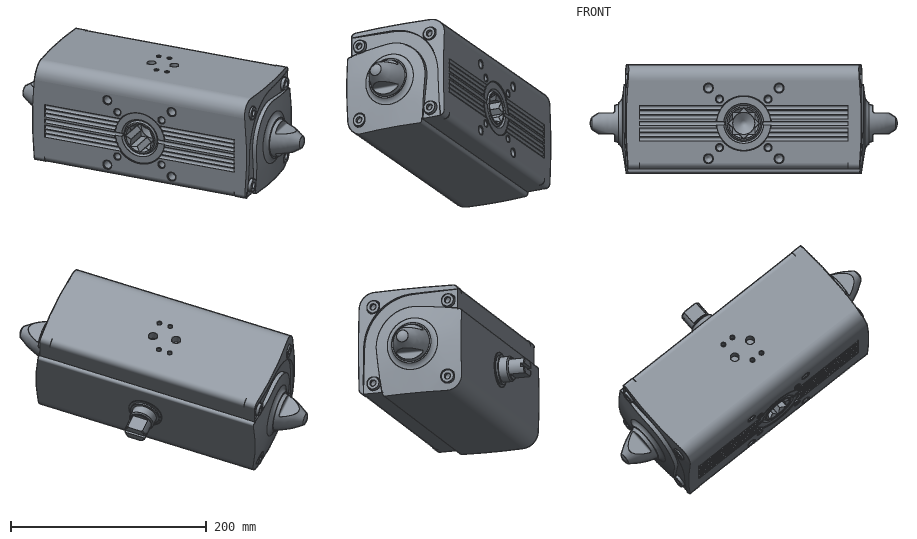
import cadquery as cq
import math


LENGTH = 313.5
FAR_SIDE = 60.0
NEAR_SIDE = 51.0
STEP_SIDE = 46.7
STEP_START = 34.2
LARGE_CORNER = 16.3
STEP_CORNER = 2.5
BODY_SMALL_CORNER = 6.3
CAP_SMALL_CORNER = 5.0

BODY_HALF = 106.3

RIM_DOME_TOP = 124.0
RIM_DOME_RADIUS = 470.5
BAND_FLOOR = 117.5
PLATE_DOME_TOP = 125.0
PLATE_DOME_RADIUS = 266.5
PLATE_RADIUS = 39.8
PLATE_TILT = math.radians(6)
RIM_RADIUS = 54.0
RIM_TILT = math.radians(-1.5)

COLLAR_TOP = 127.5
COLLAR_RADIUS = 21.3
COLLAR_FLARE = 27.3
FLARE_HOLLOW = 0.38
NOSE_RADIUS = 19.8
NOSE_MID = 142.7
NOSE_MID_RADIUS = 13.8
NOSE_TIP_RADIUS = 6.3
NOSE_TIP_START = 155.0
FLAT_START = 131.7
FLAT_HALF = 10.82
FLAT_FILLET = 2.0

SCREW_FAR = 44.0
SCREW_NEAR = 36.7
SCREW_BORE_DIAMETER = 14.5
SCREW_HEAD_DIAMETER = 13.0
SCREW_SOCKET_DIAMETER = 6.5
SCREW_FLOOR = 113.0
SCREW_HEAD_TOP = 120.7
SCREW_SOCKET_DEPTH = 3.0

OVERALL_WIDTH = 141.0
SHAFT_END = OVERALL_WIDTH - FAR_SIDE
SHAFT_EMBEDMENT = 3.0
SHAFT_DIAMETER = 22.5
SHAFT_FLAT_HALF = 7.8
SHAFT_FLAT_START = 65.2
SHAFT_CHAMFER = 1.0
SHAFT_SLOT_WIDTH = 3.5
SHAFT_SLOT_DEPTH = 4.0
SHAFT_COLLAR_DIAMETER = 26.0
SHAFT_COLLAR_END = 64.0
SHAFT_COLLAR_CHAMFER = 1.3
WASHER_DIAMETER = 36.0
WASHER_THICKNESS = 1.0
RING_DIAMETER = 30.7
RING_THICKNESS = 2.8
POINTER_WIDTH = 6.3
POINTER_THICKNESS = 1.0

GROOVE_DIAMETER = 4.0
GROOVE_HEIGHTS = (0, 6.5, 11.3, 16.0)
RECESS_DIAMETER = 55.2
RECESS_DEPTH = 1.0
RECESS_CHAMFER = 0.5
BORE_DIAMETER = 40.8
BORE_STEP_DIAMETER = 37.0
SLEEVE_FACE_DIAMETER = 34.0
BORE_GROOVE_DEPTH = 2.0
SQUARE_SIZE = 22.5
SQUARE_DEPTH = 28.2
SQUARE_LEAD_IN_DIAMETER = 30.7
DRILL_POINT_HALF_ANGLE = math.radians(59)
BOLT_DEPTH = 12.5
BOLT_CHAMFER = 0.78
OUTER_BOLT_OFFSET = 36.0
OUTER_BOLT_DIAMETER = 8.5
INNER_BOLT_OFFSET = 24.8
INNER_BOLT_DIAMETER = 6.5

VALVE_CENTRE_Y = -2.2
VALVE_X = 12.0
VALVE_SCREW_Y = 16.0
VALVE_SCREW_DIAMETER = 4.0
VALVE_SCREW_DEPTH = 8.0
VALVE_SCREW_CHAMFER = 0.47
PORT_Y = 2.0
PORT_DIAMETER = 9.0
PORT_DEPTH = 9.5


def housing_block(x_start, x_end, small_corner):
    """Length of the stepped housing section with its long edges rounded."""
    corners = [
        (-FAR_SIDE, FAR_SIDE, LARGE_CORNER),
        (-FAR_SIDE, -STEP_SIDE, small_corner),
        (-STEP_START, -STEP_SIDE, None),
        (-STEP_START, -NEAR_SIDE, STEP_CORNER),
        (NEAR_SIDE, -NEAR_SIDE, LARGE_CORNER),
        (NEAR_SIDE, STEP_START, STEP_CORNER),
        (STEP_SIDE, STEP_START, None),
        (STEP_SIDE, FAR_SIDE, small_corner),
    ]
    outline = [(y, z) for y, z, _ in corners]
    block = cq.Workplane("YZ", origin=(x_start, 0, 0)).polyline(outline).close().extrude(x_end - x_start)
    middle = (x_start + x_end) / 2
    for y, z, radius in corners:
        if radius:
            nearest = cq.selectors.NearestToPointSelector((middle, y, z))
            block = block.edges(nearest).fillet(radius)
    return block


def revolve_about_y(points):
    """Solid of revolution about Y from (radius, y) points."""
    return cq.Workplane("XY").polyline(points).close().revolve(360, (0, 0), (0, 1))


def drill(diameter, depth, chamfer):
    """Drill shape with its mouth at the origin, going towards -Z, with a conical point."""
    radius = diameter / 2
    point = radius / math.tan(DRILL_POINT_HALF_ANGLE)
    profile = [(0, 0), (radius + chamfer, 0)]
    if chamfer:
        profile.append((radius, -chamfer))
    profile += [(radius, -depth), (0, -depth - point)]
    return cq.Workplane("XZ").polyline(profile).close().revolve(360, (0, 0), (0, 1))


def corner_region(radius, tilt, x_start):
    """Prism along X: a round corner with straight, tilted sides running out past the housing."""
    beyond = 2 * FAR_SIDE
    reach = radius / math.cos(tilt) - beyond * math.tan(tilt)
    tangent_y = radius * math.sin(tilt)
    tangent_z = radius * math.cos(tilt)
    diagonal = radius / math.sqrt(2)
    return (
        cq.Workplane("YZ", origin=(x_start, 0, 0))
        .moveTo(beyond, reach)
        .lineTo(tangent_y, tangent_z)
        .threePointArc((-diagonal, diagonal), (-tangent_z, -tangent_y))
        .lineTo(-reach, -beyond)
        .lineTo(beyond, -beyond)
        .close()
        .extrude(LENGTH)
    )


def dome(top, radius):
    """Ball about the X axis whose highest point is at x = top."""
    return cq.Workplane("XY").sphere(radius).translate((top - radius, 0, 0))


def nose():
    """Flared collar and tapered nose about X with two flats."""
    tip = LENGTH / 2
    flare_base = PLATE_DOME_TOP - COLLAR_FLARE ** 2 / (2 * PLATE_DOME_RADIUS)
    flare_mid_radius = COLLAR_RADIUS + FLARE_HOLLOW * (COLLAR_FLARE - COLLAR_RADIUS)
    flare_mid = flare_base + FLARE_HOLLOW * (COLLAR_TOP - flare_base)
    cap_height = tip - NOSE_TIP_START
    tip_radius = (NOSE_TIP_RADIUS ** 2 + cap_height ** 2) / (2 * cap_height)
    tip_mid_radius = NOSE_TIP_RADIUS / 2
    tip_mid = tip - tip_radius + math.sqrt(tip_radius ** 2 - tip_mid_radius ** 2)
    body = (
        cq.Workplane("XY")
        .moveTo(BODY_HALF, 0)
        .lineTo(BODY_HALF, COLLAR_FLARE)
        .lineTo(flare_base, COLLAR_FLARE)
        .threePointArc((flare_mid, flare_mid_radius), (COLLAR_TOP, COLLAR_RADIUS))
        .lineTo(COLLAR_TOP, NOSE_RADIUS)
        .threePointArc((NOSE_MID, NOSE_MID_RADIUS), (NOSE_TIP_START, NOSE_TIP_RADIUS))
        .threePointArc((tip_mid, tip_mid_radius), (tip, 0))
        .close()
        .revolve(360, (0, 0), (1, 0))
    )
    flat_length = tip - FLAT_START
    for side in (1, -1):
        flat = (
            cq.Workplane("XY")
            .box(flat_length, 2 * COLLAR_FLARE, COLLAR_FLARE, centered=(False, True, False))
            .edges("<X and <Z")
            .fillet(FLAT_FILLET)
            .translate((FLAT_START, 0, FLAT_HALF))
        )
        if side < 0:
            flat = flat.mirror("XY")
        body = body.cut(flat)
    return body


def end_cap():
    """Cap on the +X end."""
    block = housing_block(BODY_HALF, LENGTH / 2, CAP_SMALL_CORNER)
    band = corner_region(RIM_RADIUS, RIM_TILT, BAND_FLOOR)
    plate_region = corner_region(PLATE_RADIUS, PLATE_TILT, BODY_HALF)
    base = block.intersect(dome(RIM_DOME_TOP, RIM_DOME_RADIUS)).cut(band)
    plate = block.intersect(dome(PLATE_DOME_TOP, PLATE_DOME_RADIUS)).intersect(plate_region)
    cap = base.cut(plate_region).union(plate).union(nose())

    for y in (-SCREW_FAR, SCREW_NEAR):
        for z in (SCREW_FAR, -SCREW_NEAR):
            floor = cq.Workplane("YZ", origin=(SCREW_FLOOR, y, z))
            bore = floor.circle(SCREW_BORE_DIAMETER / 2).extrude(LENGTH)
            head = floor.circle(SCREW_HEAD_DIAMETER / 2).extrude(SCREW_HEAD_TOP - SCREW_FLOOR)
            socket = drill(SCREW_SOCKET_DIAMETER, SCREW_SOCKET_DEPTH, 0)
            socket = socket.rotate((0, 0, 0), (0, 1, 0), 90).translate((SCREW_HEAD_TOP, y, z))
            cap = cap.cut(bore).union(head).cut(socket)
    return cap


def drive_shaft():
    """Shaft end on the +Y side, with washer, ring with pointer, collar, flats and a screwdriver slot."""
    start = NEAR_SIDE - SHAFT_EMBEDMENT
    radius = SHAFT_DIAMETER / 2
    collar = SHAFT_COLLAR_DIAMETER / 2
    washer_end = NEAR_SIDE + WASHER_THICKNESS
    ring_end = NEAR_SIDE + RING_THICKNESS
    shaft = revolve_about_y([
        (0, start),
        (WASHER_DIAMETER / 2, start),
        (WASHER_DIAMETER / 2, washer_end),
        (RING_DIAMETER / 2, washer_end),
        (RING_DIAMETER / 2, ring_end),
        (collar, ring_end),
        (collar, SHAFT_COLLAR_END - SHAFT_COLLAR_CHAMFER),
        (collar - SHAFT_COLLAR_CHAMFER, SHAFT_COLLAR_END),
        (radius, SHAFT_COLLAR_END),
        (radius, SHAFT_END - SHAFT_CHAMFER),
        (radius - SHAFT_CHAMFER, SHAFT_END),
        (0, SHAFT_END),
    ])
    flat_length = SHAFT_END - SHAFT_FLAT_START
    flat = cq.Workplane("XY").box(SHAFT_DIAMETER, flat_length, radius, centered=(True, False, False))
    flat = flat.translate((0, SHAFT_FLAT_START, SHAFT_FLAT_HALF))
    slot = cq.Workplane("XY").box(SHAFT_DIAMETER, 2 * SHAFT_SLOT_DEPTH, SHAFT_SLOT_WIDTH)
    slot = slot.translate((0, SHAFT_END, 0))
    pointer = cq.Workplane("XY").box(
        WASHER_DIAMETER / 2, POINTER_THICKNESS, POINTER_WIDTH, centered=(False, False, True)
    )
    pointer = pointer.translate((-WASHER_DIAMETER / 2, ring_end - POINTER_THICKNESS, 0))
    return shaft.union(pointer).cut(flat).cut(flat.mirror("XY")).cut(slot)


def cylinder_along_y(diameter, depth):
    """Cylinder on the shaft axis going inwards from the -Y side."""
    return cq.Workplane("XZ", origin=(0, -FAR_SIDE, 0)).circle(diameter / 2).extrude(-depth)


def cut_mounting_face(body):
    """Grooves, shallow recess, double-square bore and bolt holes on the -Y side."""
    disc = cylinder_along_y(RECESS_DIAMETER, FAR_SIDE)
    recess = cylinder_along_y(RECESS_DIAMETER + 2 * RECESS_CHAMFER, RECESS_DEPTH)
    recess = recess.faces(">Y").chamfer(RECESS_CHAMFER)
    sleeve = cylinder_along_y(BORE_STEP_DIAMETER, FAR_SIDE)

    grooves = cq.Workplane("YZ", origin=(-BODY_HALF, 0, 0))
    heights = sorted({sign * height for height in GROOVE_HEIGHTS for sign in (1, -1)})
    grooves = grooves.pushPoints([(-FAR_SIDE, z) for z in heights])
    grooves = grooves.circle(GROOVE_DIAMETER / 2).extrude(2 * BODY_HALF)
    body = body.cut(grooves.cut(disc)).cut(recess)
    centre_groove = cq.Workplane("YZ", origin=(-BODY_HALF, -FAR_SIDE, 0))
    centre_groove = centre_groove.circle(GROOVE_DIAMETER / 2).extrude(2 * BODY_HALF)
    body = body.cut(centre_groove.cut(sleeve))

    face = -FAR_SIDE + RECESS_DEPTH
    ring_groove = revolve_about_y([
        (BORE_DIAMETER / 2, face),
        (BORE_STEP_DIAMETER / 2, face + BORE_GROOVE_DEPTH),
        (SLEEVE_FACE_DIAMETER / 2, face),
    ])
    body = body.cut(ring_groove)

    bore_start = cq.Workplane("XZ", origin=(0, face, 0))
    for angle in (0, 45):
        square = bore_start.transformed(rotate=(0, 0, angle)).rect(SQUARE_SIZE, SQUARE_SIZE)
        body = body.cut(square.extrude(-SQUARE_DEPTH))
    lead_in = (SQUARE_LEAD_IN_DIAMETER - SQUARE_SIZE) / 2
    bore_point = drill(SQUARE_SIZE, SQUARE_DEPTH, lead_in).rotate((0, 0, 0), (1, 0, 0), 90)
    body = body.cut(bore_point.translate((0, face, 0)))

    for offset, diameter in (
        (OUTER_BOLT_OFFSET, OUTER_BOLT_DIAMETER),
        (INNER_BOLT_OFFSET, INNER_BOLT_DIAMETER),
    ):
        bolt = drill(diameter, BOLT_DEPTH, BOLT_CHAMFER).rotate((0, 0, 0), (1, 0, 0), 90)
        for x in (-offset, offset):
            for z in (-offset, offset):
                body = body.cut(bolt.translate((x, -FAR_SIDE, z)))
    return body


def cut_valve_interface(body):
    """Screw holes and two air ports in the top face."""
    screw = drill(VALVE_SCREW_DIAMETER, VALVE_SCREW_DEPTH, VALVE_SCREW_CHAMFER)
    port = cq.Workplane("XY").circle(PORT_DIAMETER / 2).extrude(-PORT_DEPTH)
    for side in (1, -1):
        for x in (0, -side * VALVE_X):
            body = body.cut(screw.translate((x, VALVE_CENTRE_Y + side * VALVE_SCREW_Y, FAR_SIDE)))
        body = body.cut(port.translate((side * VALVE_X, VALVE_CENTRE_Y + side * PORT_Y, FAR_SIDE)))
    return body


body = housing_block(-BODY_HALF, BODY_HALF, BODY_SMALL_CORNER)
body = cut_mounting_face(body)
body = cut_valve_interface(body)
body = body.union(drive_shaft())

cap = end_cap()
result = body.union(cap, clean=False).union(cap.mirror("YZ"), clean=False)